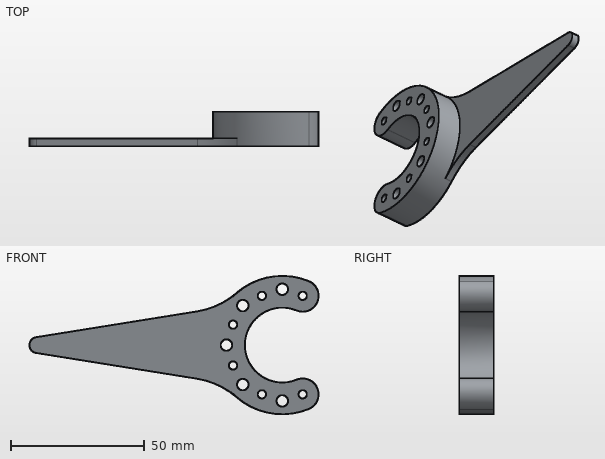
import cadquery as cq
import math

overall_length = 108.6
ring_outer_diameter = 52.0
ring_inner_diameter = 28.0
ring_thickness = 13.0
blade_thickness = 3.0
tip_radius = 3.0
blade_flank_angle = math.radians(9.1)
blade_fillet_radius = 30.0
hole_pitch_angle = 22.5
large_hole_diameter = 4.2
large_hole_circle_radius = 21.0
small_hole_diameter = 3.0

outer_radius = ring_outer_diameter / 2
inner_radius = ring_inner_diameter / 2
middle_radius = (outer_radius + inner_radius) / 2
end_radius = (outer_radius - inner_radius) / 2
end_angle = 3 * hole_pitch_angle


def polar(radius, degrees):
    angle = math.radians(degrees)
    return (radius * math.cos(angle), radius * math.sin(angle))


def mirrored(point):
    return (point[0], -point[1])


def extrude_back(sketch, depth):
    """Extrude an XZ sketch from the front face toward +Y."""
    return sketch.extrude(-depth)


def make_ring():
    """Open ring with rounded ends, the opening facing +X."""
    outer_end = polar(outer_radius, end_angle)
    inner_end = polar(inner_radius, end_angle)
    centre = polar(middle_radius, end_angle)
    offset = polar(end_radius, end_angle - 90)
    cap_middle = (centre[0] + offset[0], centre[1] + offset[1])
    sketch = (
        cq.Workplane("XZ")
        .moveTo(*outer_end)
        .threePointArc((-outer_radius, 0), mirrored(outer_end))
        .threePointArc(mirrored(cap_middle), mirrored(inner_end))
        .threePointArc((-inner_radius, 0), inner_end)
        .threePointArc(cap_middle, outer_end)
        .close()
    )
    return extrude_back(sketch, ring_thickness)


def make_blade():
    """Tapered blade whose flanks blend tangentially into the ring."""
    ring_right = polar(middle_radius, end_angle)[0] + end_radius
    tip_x = ring_right - overall_length
    tip_centre_x = tip_x + tip_radius
    sin_a = math.sin(blade_flank_angle)
    cos_a = math.cos(blade_flank_angle)
    tip_tangent = (tip_centre_x - tip_radius * sin_a, tip_radius * cos_a)

    flank_distance = tip_radius - tip_centre_x * sin_a
    across = flank_distance + blade_fillet_radius
    centre_distance = outer_radius + blade_fillet_radius
    along = -math.sqrt(centre_distance**2 - across**2)
    fillet_x = along * cos_a - across * sin_a
    fillet_z = along * sin_a + across * cos_a
    flank_end = (
        fillet_x + blade_fillet_radius * sin_a,
        fillet_z - blade_fillet_radius * cos_a,
    )
    ring_angle = math.degrees(math.atan2(fillet_z, fillet_x))
    ring_tangent = polar(outer_radius, ring_angle)
    fillet_mid_angle = (math.degrees(blade_flank_angle) - 90 + ring_angle - 180) / 2
    mid_offset = polar(blade_fillet_radius, fillet_mid_angle)
    fillet_middle = (fillet_x + mid_offset[0], fillet_z + mid_offset[1])

    root = polar(middle_radius, ring_angle)
    sketch = (
        cq.Workplane("XZ")
        .moveTo(*tip_tangent)
        .lineTo(*flank_end)
        .threePointArc(fillet_middle, ring_tangent)
        .lineTo(*root)
        .threePointArc((-middle_radius, 0), mirrored(root))
        .lineTo(*mirrored(ring_tangent))
        .threePointArc(mirrored(fillet_middle), mirrored(flank_end))
        .lineTo(*mirrored(tip_tangent))
        .threePointArc((tip_x, 0), tip_tangent)
        .close()
    )
    return extrude_back(sketch, blade_thickness)


def make_holes(diameter, circle_radius, first_angle, count):
    """Through holes at every second pitch angle around the ring."""
    centres = [
        polar(circle_radius, first_angle + 2 * i * hole_pitch_angle) for i in range(count)
    ]
    sketch = cq.Workplane("XZ").pushPoints(centres).circle(diameter / 2)
    return extrude_back(sketch, ring_thickness)


large_holes = make_holes(
    large_hole_diameter, large_hole_circle_radius, end_angle + hole_pitch_angle, 5
)
small_holes = make_holes(small_hole_diameter, middle_radius, end_angle, 6)

result = make_ring().union(make_blade()).cut(large_holes).cut(small_holes)